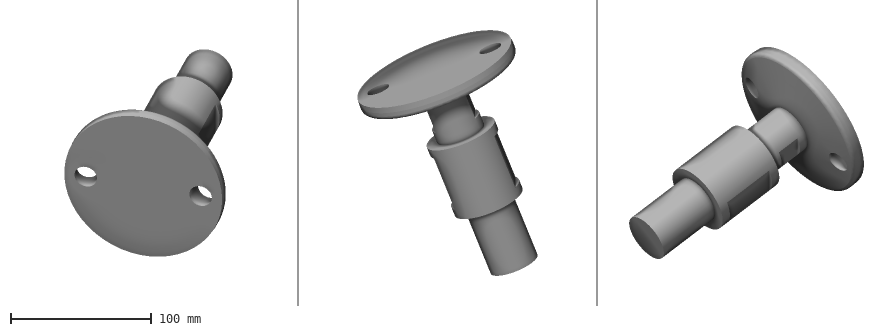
import cadquery as cq
import math

total_length = 157.0

plate_diameter = 118.0
face_diameter = 117.5
rim_taper_length = 4.2
rim_corner_y = 9.7
rim_rounding = 3.0
cone_top_y = 16.3

hole_diameter = 16.5
hole_offset = 42.7

spindle_diameter = 36.0
spindle_across_flats = 30.0
spindle_flat_start = 23.9
spindle_flat_end = 41.9

sleeve_diameter = 52.0
sleeve_across_flats = 46.0
sleeve_start = 51.8
sleeve_end = 107.0
sleeve_land = 7.0

plate_radius = plate_diameter / 2
spindle_radius = spindle_diameter / 2
cone_angle = math.degrees(
    math.atan2(cone_top_y - rim_corner_y, plate_radius - spindle_radius)
)


def cylinder(diameter, start, end):
    """Cylinder on the Y axis between two Y positions."""
    return cq.Workplane("XZ", origin=(0, start, 0)).circle(diameter / 2).extrude(start - end)


def cut_flats(body, diameter, across_flats, start, end):
    """Cut two opposite flats, facing -X and +X, between two Y positions."""
    depth = (diameter - across_flats) / 2
    for side in (-1, 1):
        cutter = cq.Workplane("XY").box(2 * depth, end - start, diameter).translate(
            (side * (across_flats / 2 + depth), (start + end) / 2, 0)
        )
        body = body.cut(cutter)
    return body


def make_plate():
    """Round plate with a tapered rim, a rounded shoulder and a conical back."""
    plate = (
        cq.Workplane("XY")
        .lineTo(face_diameter / 2, 0)
        .lineTo(plate_radius, rim_taper_length)
        .lineTo(plate_radius, rim_corner_y)
        .lineTo(spindle_radius, cone_top_y)
        .lineTo(0, cone_top_y)
        .close()
        .revolve(360, (0, 0, 0), (0, 1, 0))
    )
    shoulder = cq.selectors.NearestToPointSelector((0, rim_corner_y, 0))
    return plate.edges(shoulder).fillet(rim_rounding)


def cut_mounting_holes(body):
    """Two through holes that lean outwards, along the normals of the cone."""
    hole_reach = 2 * cone_top_y
    for side in (-1, 1):
        axis = cq.Vector(
            side * math.sin(math.radians(cone_angle)), math.cos(math.radians(cone_angle)), 0
        )
        entry = cq.Vector(side * hole_offset, 0, 0)
        drill = cq.Solid.makeCylinder(
            hole_diameter / 2, 2 * hole_reach, entry - axis * hole_reach, axis
        )
        body = body.cut(cq.Workplane(obj=drill))
    return body


def make_foot():
    """Foot plate and spindle in one piece."""
    spindle = cut_flats(
        cylinder(spindle_diameter, 0, total_length),
        spindle_diameter, spindle_across_flats, spindle_flat_start, spindle_flat_end,
    )
    return cut_mounting_holes(make_plate()).union(spindle)


def make_sleeve():
    """Sleeve with wrench flats, bored to fit the spindle."""
    blank = cut_flats(
        cylinder(sleeve_diameter, sleeve_start, sleeve_end),
        sleeve_diameter, sleeve_across_flats, sleeve_start + sleeve_land, sleeve_end - sleeve_land,
    )
    return blank.cut(cylinder(spindle_diameter, sleeve_start, sleeve_end))


foot = make_foot()
sleeve = make_sleeve()

result = cq.Compound.makeCompound([foot.val(), sleeve.val()])